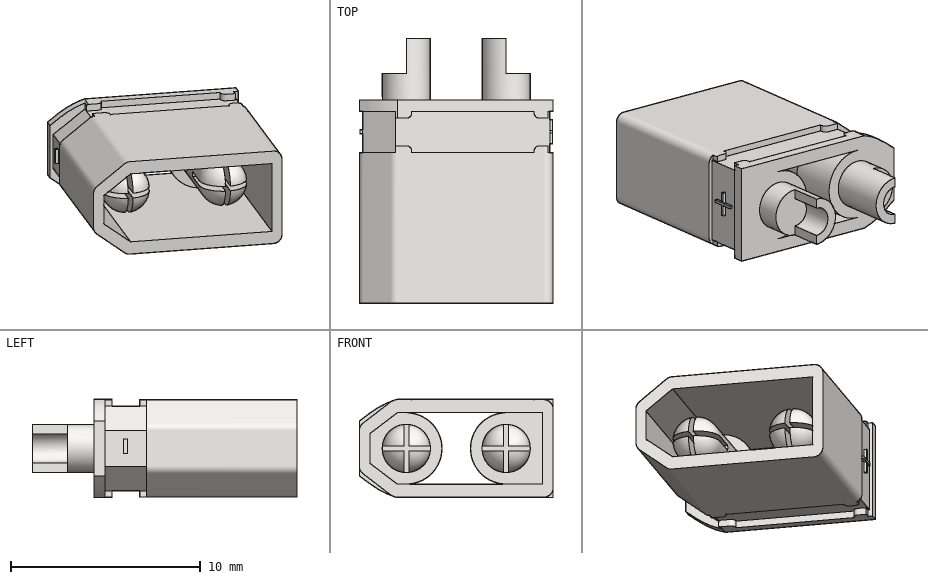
import cadquery as cq
import math


total_length = 13.96
shell_end = 7.95
flange_start = 10.12
flange_end = 10.72
cup_start = 12.12
pin_tip = 1.95

width = 10.2
flange_height = 5.2
shell_height = 5.14
neck_width = 9.85
neck_height = 4.47

shell_nose_height = 2.37
shell_slope_run = 1.8
shell_round = 0.49
neck_nose_height = 1.88
neck_slope_run = 1.72

flange_nose_height = 2.9
flange_slope_run = 0.56
flange_slope_height = 3.74
flange_arc_run = 1.44

cavity_width = 9.1
cavity_height = 3.77
cavity_nose_height = 1.56
cavity_slope_run = 1.45
cavity_depth = shell_end

tab_reach = 0.36
tab_round = 0.28
tab_left_end = -3.21
tab_left_inner = -2.35
tab_right_inner = 4.1
tab_right_end = 4.85

pin_spacing = 5.26
pin_diameter = 2.54
pin_slot_width = 0.27
pin_slot_depth = 2.79
cup_bore_diameter = 1.54

mark_height = 0.15
mark_y = 9.05
mark_z = 0.11
minus_length = 0.77
minus_thickness = 0.22
plus_length = 1.27
plus_thickness = 0.14

pin_centres = [(-pin_spacing / 2, 0), (pin_spacing / 2, 0)]


def section_plane(y):
    """Plane across the part at the given Y, with X to the right and Z up."""
    return cq.Workplane("XZ", origin=(0, y, 0))


def pointed_prism(prism_width, height, nose_height, slope_run, y_start, y_end):
    """Prism along Y whose two left corners are cut by slopes."""
    left = -prism_width / 2
    right = prism_width / 2
    outline = [
        (left, -nose_height / 2),
        (left, nose_height / 2),
        (left + slope_run, height / 2),
        (right, height / 2),
        (right, -height / 2),
        (left + slope_run, -height / 2),
    ]
    return section_plane(y_start).polyline(outline).close().extrude(y_start - y_end)


def shell_prism(y_end):
    body = pointed_prism(width, shell_height, shell_nose_height, shell_slope_run, 0, y_end)
    return body.edges("|Y").fillet(shell_round)


def flange_prism(y_start):
    """Prism along Y whose two left corners are a short slope followed by an arc."""
    left = -width / 2
    slope_end = left + flange_slope_run
    upper_half = (
        section_plane(y_start)
        .moveTo(left, 0)
        .lineTo(left, flange_nose_height / 2)
        .lineTo(slope_end, flange_slope_height / 2)
        .tangentArcPoint((slope_end + flange_arc_run, flange_height / 2), relative=False)
        .lineTo(width / 2, flange_height / 2)
        .lineTo(width / 2, 0)
    )
    return upper_half.mirrorX().extrude(y_start - flange_end)


def tab_columns(y_root, y_tip):
    """Left and right full-height columns, rounded at the inner corner of the tip, for shaping tabs."""
    columns = cq.Workplane("XY")
    for outer, inner in [(tab_left_end, tab_left_inner), (tab_right_end, tab_right_inner)]:
        column = (
            cq.Workplane("XY")
            .box(abs(outer - inner), abs(y_tip - y_root), flange_height)
            .translate(((outer + inner) / 2, (y_root + y_tip) / 2, 0))
        )
        inner_tip = cq.selectors.NearestToPointSelector((inner, y_tip, 0))
        columns = columns.union(column.edges(inner_tip).fillet(tab_round))
    return columns


def housing():
    shell_tab_tip = shell_end + tab_reach
    flange_tab_tip = flange_start - tab_reach
    neck = pointed_prism(neck_width, neck_height, neck_nose_height, neck_slope_run, shell_end, flange_start)
    shell_tabs = shell_prism(shell_tab_tip).intersect(tab_columns(shell_end, shell_tab_tip))
    flange_tabs = flange_prism(flange_tab_tip).intersect(tab_columns(flange_start, flange_tab_tip))
    body = shell_prism(shell_end).union(neck).union(flange_prism(flange_start))
    return body.union(shell_tabs).union(flange_tabs)


def cavity():
    return pointed_prism(cavity_width, cavity_height, cavity_nose_height, cavity_slope_run, 0, cavity_depth)


def floor_window():
    """Opening through the floor between the round bosses that carry the two contacts."""
    floor_thickness = flange_end - cavity_depth
    opening = section_plane(cavity_depth).rect(pin_spacing, cavity_height).extrude(-floor_thickness)
    bosses = section_plane(cavity_depth).pushPoints(pin_centres).circle(cavity_height / 2)
    return opening.cut(bosses.extrude(-floor_thickness))


def contact(x):
    """Round contact: a domed, cross-slotted pin in front and a half-open solder cup behind."""
    radius = pin_diameter / 2
    outward = math.copysign(1, x)
    dome_end = pin_tip + radius
    half_profile = (
        cq.Workplane("XY", origin=(x, 0, 0))
        .moveTo(0, pin_tip)
        .radiusArc((radius, dome_end), -radius)
        .lineTo(radius, total_length)
        .lineTo(0, total_length)
        .close()
    )
    body = half_profile.revolve(360, (0, 0), (0, 1))

    for slot_size in [(pin_diameter, pin_slot_width), (pin_slot_width, pin_diameter)]:
        slot = section_plane(pin_tip).center(x, 0).rect(*slot_size).extrude(-pin_slot_depth)
        body = body.cut(slot)

    cup_length = total_length - cup_start
    bore = section_plane(cup_start).center(x, 0).circle(cup_bore_diameter / 2).extrude(-cup_length)
    outer_half = section_plane(cup_start).center(x + outward * radius / 2, 0)
    outer_half = outer_half.rect(radius, pin_diameter).extrude(-cup_length)
    return body.cut(bore).cut(outer_half)


def polarity_marks():
    """Raised minus on the left end of the neck and raised plus on the right end."""
    bar_depth = 2 * mark_height
    minus = cq.Workplane("XY").box(bar_depth, minus_thickness, minus_length)
    plus = (
        cq.Workplane("XY")
        .box(bar_depth, plus_thickness, plus_length)
        .union(cq.Workplane("XY").box(bar_depth, plus_length, plus_thickness))
    )
    minus = minus.translate((-neck_width / 2, mark_y, mark_z))
    plus = plus.translate((neck_width / 2, mark_y, mark_z))
    return minus.union(plus)


result = housing().cut(cavity()).cut(floor_window()).union(polarity_marks())
for x, _ in pin_centres:
    result = result.union(contact(x))